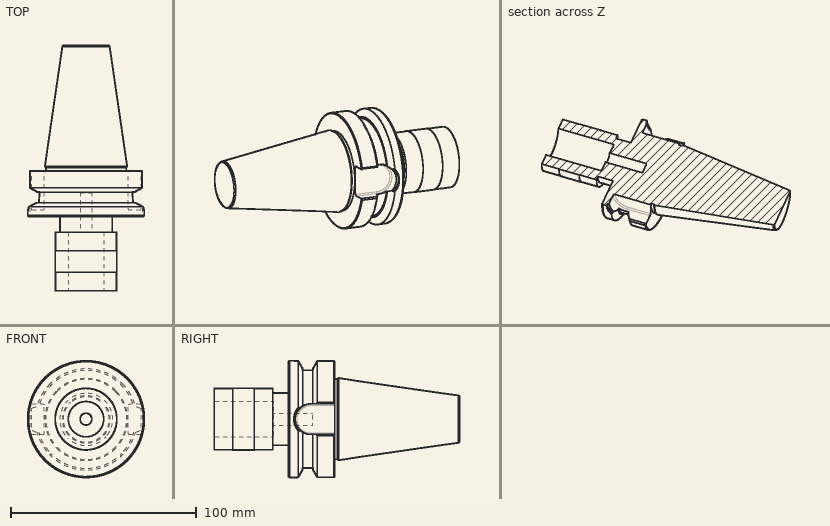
import cadquery as cq
import math

total_length = 132.4
front_y = -total_length / 2

collar_radius = 16.5
band_radius = 16.7
band_start = front_y + 10.0
band_end = front_y + 21.7
collar_end = front_y + 31.6
neck_radius = 14.2

flange_radius = 31.5
flange_start = front_y + 40.0
flange_end = front_y + 64.9
front_chamfer_length = 0.8
front_chamfer_depth = 0.5
rear_chamfer = 0.4
groove_radius = 26.5
groove_start = front_y + 47.7
groove_end = front_y + 53.2
groove_wall_width = 2.4
groove_wall_angle = 60
groove_wall_radius = flange_radius - groove_wall_width * math.tan(math.radians(groove_wall_angle))

relief_radius = 21.7
relief_end = front_y + 66.5
taper_start = front_y + 67.1
taper_radius = 22.2
taper_end = front_y + total_length
taper_slope = 7 / 24 / 2
tip_chamfer_length = 0.8
tip_chamfer_depth = 0.5

bore_radius = 9.5
bore_depth = 31.8
pilot_radius = 3.2
pilot_depth = 53.0

slot_width = 16.4
slot_floor = 22.6
slot_tip = front_y + 43.7
slot_fillet = 0.8
slot_mouth_chamfer = 0.8


def taper_radius_at(y):
    return taper_radius - (y - taper_start) * taper_slope


def make_body():
    tip_shoulder = taper_end - tip_chamfer_length
    profile = [
        (0, front_y),
        (collar_radius, front_y),
        (collar_radius, band_start),
        (band_radius, band_start),
        (band_radius, band_end),
        (collar_radius, band_end),
        (collar_radius, collar_end),
        (neck_radius, collar_end),
        (neck_radius, flange_start),
        (flange_radius - front_chamfer_depth, flange_start),
        (flange_radius, flange_start + front_chamfer_length),
        (flange_radius, groove_start - groove_wall_width),
        (groove_wall_radius, groove_start),
        (groove_radius, groove_start),
        (groove_radius, groove_end),
        (groove_wall_radius, groove_end),
        (flange_radius, groove_end + groove_wall_width),
        (flange_radius, flange_end - rear_chamfer),
        (flange_radius - rear_chamfer, flange_end),
        (relief_radius, flange_end),
        (relief_radius, relief_end),
        (taper_radius, taper_start),
        (taper_radius_at(tip_shoulder), tip_shoulder),
        (taper_radius_at(tip_shoulder) - tip_chamfer_depth, taper_end),
        (0, taper_end),
    ]
    return cq.Workplane("XY").polyline(profile).close().revolve(360, (0, 0, 0), (0, 1, 0))


def make_bore(radius, depth):
    """Blind round hole running back from the front face."""
    return cq.Workplane("XZ", origin=(0, front_y, 0)).circle(radius).extrude(-depth)


def slot_outline(half_width, x):
    """Slot outline at a given X: round at its front end, running out behind the flange."""
    arc_center = slot_tip + slot_width / 2
    return (
        cq.Workplane("YZ", origin=(x, 0, 0))
        .moveTo(flange_end, -half_width)
        .lineTo(arc_center, -half_width)
        .threePointArc((arc_center - half_width, 0), (arc_center, half_width))
        .lineTo(flange_end, half_width)
        .close()
    )


def make_slot():
    """Drive slot on the +X side with a rounded floor edge and bevelled mouth."""
    half_width = slot_width / 2
    mouth_half_width = half_width + slot_mouth_chamfer
    mouth_x = math.sqrt(flange_radius**2 - mouth_half_width**2)
    walls = slot_outline(half_width, slot_floor).extrude(flange_radius - slot_floor)
    walls = walls.faces("<X").edges("not(>Y)").fillet(slot_fillet)
    bevel = slot_outline(mouth_half_width, mouth_x).extrude(
        -slot_mouth_chamfer, taper=45
    )
    outside = slot_outline(mouth_half_width, mouth_x).extrude(flange_radius - mouth_x)
    return walls.union(bevel).union(outside)


result = make_body().cut(make_bore(bore_radius, bore_depth)).cut(make_bore(pilot_radius, pilot_depth))
right_slot = make_slot()
for slot in (right_slot, right_slot.mirror("YZ")):
    result = result.cut(slot)